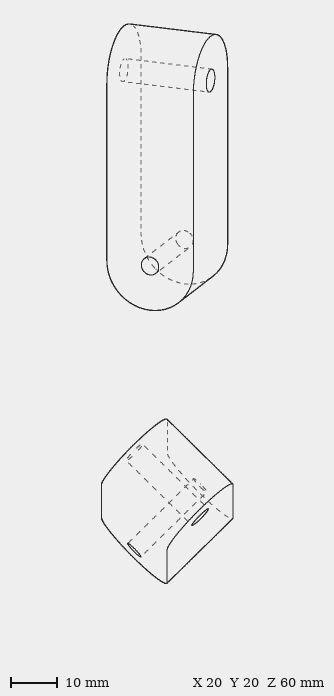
import cadquery as cq

length = 60.0
end_radius = length / 6
width = 2 * end_radius
lower_hole_diameter = 4.0
upper_hole_diameter = 5.0

lower_axis_z = -length / 2 + end_radius
upper_axis_z = length / 2 - end_radius


def link_profile(plane, round_z, flat_z):
    """Solid rounded about round_z and cut square at flat_z, centred across its plane."""
    outward = end_radius if round_z > 0 else -end_radius
    return (
        cq.Workplane(plane)
        .moveTo(-end_radius, flat_z)
        .lineTo(-end_radius, round_z)
        .threePointArc((0, round_z + outward), (end_radius, round_z))
        .lineTo(end_radius, flat_z)
        .close()
        .extrude(width / 2, both=True)
    )


def cross_hole(plane, axis_z, diameter):
    """Cylinder that passes through the full width of the bar."""
    return cq.Workplane(plane).center(0, axis_z).circle(diameter / 2).extrude(width, both=True)


lower_rounded = link_profile("XZ", lower_axis_z, length / 2)
upper_rounded = link_profile("YZ", upper_axis_z, -length / 2)
body = lower_rounded.intersect(upper_rounded)

result = (
    body
    .cut(cross_hole("XZ", lower_axis_z, lower_hole_diameter))
    .cut(cross_hole("YZ", upper_axis_z, upper_hole_diameter))
)